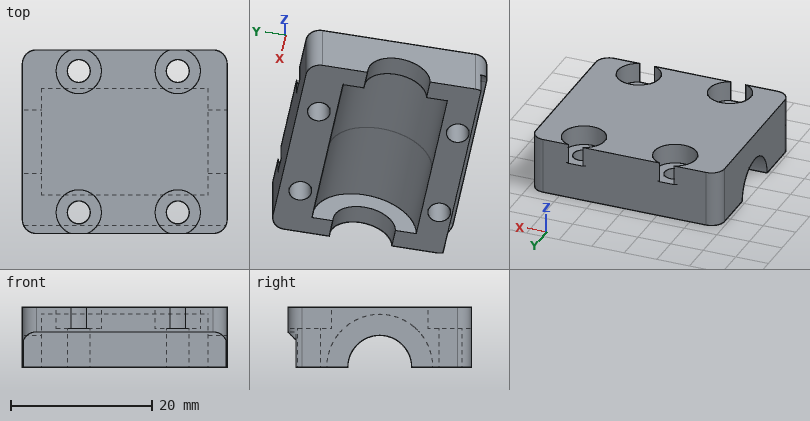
import cadquery as cq

length = 29.0
width = 26.0
height = 8.5
corner_radius = 2.0

channel_radius = 4.5

seat_radius = 7.5
seat_end_wall = 2.75

hole_diameter = 3.2
counterbore_diameter = 6.4
counterbore_depth = 3.0
hole_spacing_x = 14.0
hole_spacing_y = 20.0
first_hole_from_left = 8.0

step_depth = 1.15
step_top_drop = 3.5


def make_block():
    block = cq.Workplane("XY").box(length, width, height, centered=(True, True, False))
    return block.edges("|Z").fillet(corner_radius)


def make_channel():
    return cq.Workplane("YZ").circle(channel_radius).extrude(length / 2, both=True)


def make_seat():
    half_length = length / 2 - seat_end_wall
    return cq.Workplane("YZ").circle(seat_radius).extrude(half_length, both=True)


def make_step():
    step_height = height - step_top_drop
    cutter = cq.Workplane("XY").box(length, step_depth, step_height, centered=(True, False, False))
    cutter = cutter.edges("|Y and >Z").fillet(corner_radius)
    return cutter.translate((0, -width / 2, 0))


def add_screw_holes(body):
    pattern_x = first_hole_from_left + hole_spacing_x / 2 - length / 2
    return (
        body.faces(">Z").workplane(origin=(pattern_x, 0, height))
        .rarray(hole_spacing_x, hole_spacing_y, 2, 2)
        .cboreHole(hole_diameter, counterbore_diameter, counterbore_depth)
    )


body = make_block()
body = body.cut(make_channel()).cut(make_seat()).cut(make_step())
result = add_screw_holes(body)